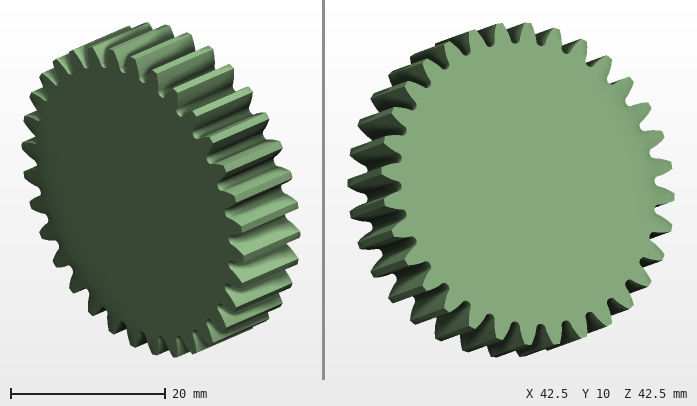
import cadquery as cq
import math

outer_diameter = 42.5
face_width = 10.0
tooth_count = 32
pressure_angle = math.radians(20)
dedendum_factor = 1.25
root_fillet = 0.65
flank_steps = 6

module = outer_diameter / (tooth_count + 2)
tip_radius = outer_diameter / 2
pitch_radius = module * tooth_count / 2
base_radius = pitch_radius * math.cos(pressure_angle)
root_radius = pitch_radius - dedendum_factor * module
pitch_angle = 2 * math.pi / tooth_count

base_half_gap = pitch_angle / 4 - (math.tan(pressure_angle) - pressure_angle)

centre_radius = root_radius + root_fillet
centre_reach = math.sqrt(centre_radius**2 - base_radius**2)
start_roll = (centre_reach - root_fillet) / base_radius
tip_roll = math.sqrt(tip_radius**2 - base_radius**2) / base_radius
centre_angle = base_half_gap + start_roll - math.atan(centre_reach / base_radius)

root_end_angle = centre_angle + math.pi
flank_end_angle = base_half_gap + start_roll + math.pi / 2
fillet_middle_angle = (root_end_angle + flank_end_angle) / 2


def polar(radius, angle):
    """Point at a radius, with the angle measured clockwise from the top."""
    return (radius * math.sin(angle), radius * math.cos(angle))


def flank_polar(roll):
    """Radius and angle from the gap centre of the involute at a roll angle."""
    return base_radius * math.hypot(1, roll), base_half_gap + roll - math.atan(roll)


def flank_points(gap_angle, side):
    """Flank points from the root fillet to the tip, on side -1 or +1 of a gap."""
    points = []
    for i in range(flank_steps + 1):
        roll = start_roll + (tip_roll - start_roll) * i / flank_steps
        radius, angle = flank_polar(roll)
        points.append(polar(radius, gap_angle + side * angle))
    return points


def fillet_middle(gap_angle, side):
    """Point halfway along the root fillet."""
    centre_x, centre_z = polar(centre_radius, gap_angle + side * centre_angle)
    offset_x, offset_z = polar(root_fillet, gap_angle + side * fillet_middle_angle)
    return (centre_x + offset_x, centre_z + offset_z)


def add_gap_and_tooth(outline, gap_angle):
    """Draw one gap clockwise from its left tip corner, then the tip of the next tooth."""
    left = flank_points(gap_angle, -1)
    right = flank_points(gap_angle, 1)
    tip_angle = flank_polar(tip_roll)[1]
    return (
        outline.spline(left[-2::-1], includeCurrent=True)
        .threePointArc(fillet_middle(gap_angle, -1), polar(root_radius, gap_angle - centre_angle))
        .threePointArc(polar(root_radius, gap_angle), polar(root_radius, gap_angle + centre_angle))
        .threePointArc(fillet_middle(gap_angle, 1), right[0])
        .spline(right[1:], includeCurrent=True)
        .threePointArc(
            polar(tip_radius, gap_angle + pitch_angle / 2),
            polar(tip_radius, gap_angle + pitch_angle - tip_angle),
        )
    )


first_gap = pitch_angle / 2
outline = cq.Workplane("XZ", origin=(0, face_width / 2, 0)).moveTo(*flank_points(first_gap, -1)[-1])
for i in range(tooth_count):
    outline = add_gap_and_tooth(outline, first_gap + i * pitch_angle)

result = outline.close().extrude(face_width)